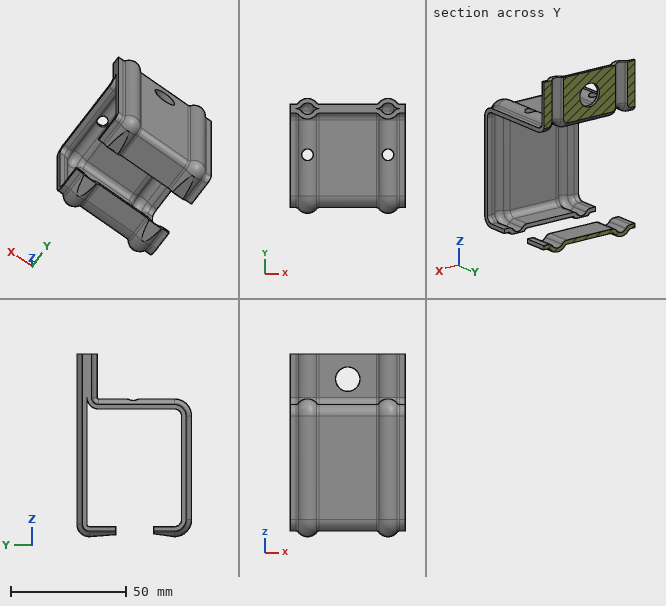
import cadquery as cq
import math

width = 50.0
depth = 50.0
height = 79.5

thickness = 2.0
cavity_height = 51.0
back_lip_reach = 17.0
front_lip_reach = 16.5
bead_spacing = 35.0
bead_radius = 5.0
bead_half_width = 5.0
bead_rim_radius = 1.3
back_lip_bead_height = 1.6
front_lip_bead_height = 1.2

flange_bend = 5.0
front_bend = 3.0
back_bend = 1.0

mount_hole_diameter = 10.5
mount_hole_drop = 11.0
bead_hole_diameter = 4.9
bead_hole_y = 0.5

bead_radius_sum = bead_radius + bead_rim_radius
bead_angle = math.asin(bead_half_width / bead_radius_sum)
bead_height = bead_radius_sum * (1 - math.cos(bead_angle))

cavity_bottom = bead_height + thickness
cavity_top = cavity_bottom + cavity_height
cavity_back = depth / 2 - bead_height - thickness
cavity_front = -cavity_back

back_lip_edge = depth / 2 - back_lip_reach
front_lip_edge = -depth / 2 + front_lip_reach
back_lip_root = cavity_back - back_bend
front_lip_root = cavity_front + front_bend


def draw_face_line(outline, level, bead_arc_radius, direction):
    """Draw one sheet face across both beads, in the given direction along X."""
    rim_radius = bead_radius_sum - bead_arc_radius
    tangent_x = bead_arc_radius * math.sin(bead_angle)
    tangent_level = level + rim_radius * (1 - math.cos(bead_angle))
    rim_mid_x = bead_half_width - rim_radius * math.sin(bead_angle / 2)
    rim_mid_level = level + rim_radius * (1 - math.cos(bead_angle / 2))

    for bead_x in (-direction * bead_spacing / 2, direction * bead_spacing / 2):
        def at(offset_x, y):
            return (bead_x + direction * offset_x, y)

        outline = (
            outline.lineTo(*at(-bead_half_width, level))
            .threePointArc(at(-rim_mid_x, rim_mid_level), at(-tangent_x, tangent_level))
            .threePointArc(at(0, level + bead_height), at(tangent_x, tangent_level))
            .threePointArc(at(rim_mid_x, rim_mid_level), at(bead_half_width, level))
        )
    return outline.lineTo(direction * width / 2, level)


def sheet_section(y, z, normal):
    """Closed cross-section of the beaded sheet, standing on its cavity face at (y, z)."""
    plane = cq.Plane(origin=(0, y, z), xDir=(1, 0, 0), normal=normal)
    outline = cq.Workplane(plane).moveTo(-width / 2, 0)
    outline = draw_face_line(outline, 0, bead_radius - thickness, direction=1)
    outline = outline.lineTo(width / 2, thickness)
    outline = draw_face_line(outline, thickness, bead_radius, direction=-1)
    return outline.close()


def lip(root_y, edge_y, edge_bead_height):
    """Bottom lip whose bead crests are cut flat, sloping from the bend to the free edge."""
    strip = sheet_section(root_y, cavity_bottom, (0, 1, 0)).extrude(edge_y - root_y)
    crest_cut = (
        cq.Workplane("YZ")
        .moveTo(root_y, 0)
        .lineTo(edge_y, 0)
        .lineTo(edge_y, bead_height - edge_bead_height)
        .close()
        .extrude(width / 2, both=True)
    )
    return strip.cut(crest_cut)


front_path = (
    cq.Workplane("YZ")
    .moveTo(cavity_back, height)
    .lineTo(cavity_back, cavity_top + flange_bend)
    .tangentArcPoint((-flange_bend, -flange_bend))
    .lineTo(front_lip_root, cavity_top)
    .tangentArcPoint((-front_bend, -front_bend))
    .lineTo(cavity_front, cavity_bottom + front_bend)
    .tangentArcPoint((front_bend, -front_bend))
)
front_strip = sheet_section(cavity_back, height, (0, 0, -1)).sweep(front_path)
front_lip = lip(front_lip_root, front_lip_edge, front_lip_bead_height)

back_path = (
    cq.Workplane("YZ")
    .moveTo(cavity_back, height)
    .lineTo(cavity_back, cavity_bottom + back_bend)
    .tangentArcPoint((-back_bend, -back_bend))
)
back_strip = sheet_section(cavity_back, height, (0, 0, 1)).sweep(back_path)
back_lip = lip(back_lip_root, back_lip_edge, back_lip_bead_height)

bracket = front_strip.union(front_lip).union(back_strip).union(back_lip)

mount_hole = (
    cq.Workplane("XZ")
    .center(0, height - mount_hole_drop)
    .circle(mount_hole_diameter / 2)
    .extrude(-depth)
)

bead_holes = (
    cq.Workplane("XY")
    .workplane(offset=cavity_bottom)
    .pushPoints([(-bead_spacing / 2, bead_hole_y), (bead_spacing / 2, bead_hole_y)])
    .circle(bead_hole_diameter / 2)
    .extrude(height)
)

result = bracket.cut(mount_hole).cut(bead_holes)